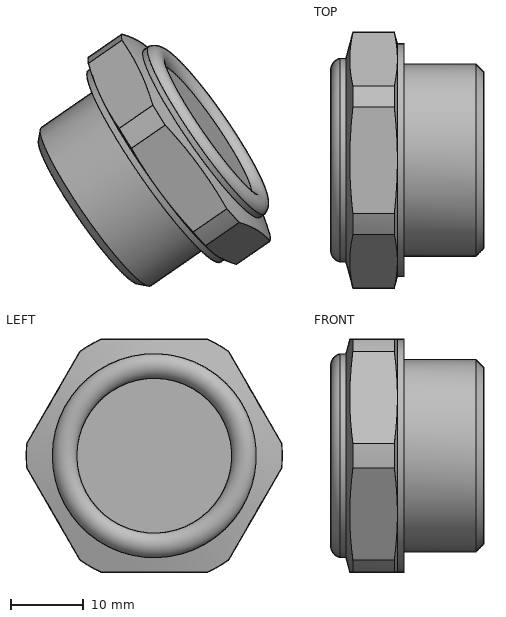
import cadquery as cq
import math

length = 21.07
across_flats = 32.0
across_corners = 35.18

rim_radius = 28.0 / 2
rim_depth = 1.3
recess_radius = 10.62
rim_crest_radius = (rim_radius + recess_radius) / 2

head_front = 2.1
head_back = 9.18
cone_slope = math.tan(math.radians(15))

flange_radius = across_flats / 2
flange_back = 10.1
plug_radius = 26.45 / 2
plug_chamfer = 1.13


def make_body():
    """Round core: recessed rim, flange and chamfered plug."""
    profile = (
        cq.Workplane("XY")
        .moveTo(rim_depth, 0)
        .lineTo(rim_depth, recess_radius)
        .threePointArc((0, rim_crest_radius), (rim_depth, rim_radius))
        .lineTo(head_back, rim_radius)
        .lineTo(head_back, flange_radius)
        .lineTo(flange_back, flange_radius)
        .lineTo(flange_back, plug_radius)
        .lineTo(length - plug_chamfer, plug_radius)
        .lineTo(length, plug_radius - plug_chamfer)
        .lineTo(length, 0)
        .close()
    )
    return profile.revolve(360, (0, 0), (1, 0))


def make_head():
    """Hexagon with flats facing +Z and -Z, trimmed by a double-coned disc."""
    hexagon = (
        cq.Workplane("YZ", origin=(head_front, 0, 0))
        .polygon(6, across_flats, circumscribed=True)
        .extrude(head_back - head_front)
        .rotate((0, 0, 0), (1, 0, 0), 90)
    )
    corner_radius = across_corners / 2
    front_cone_end = head_front + (corner_radius - rim_radius) * cone_slope
    back_cone_start = head_back - (corner_radius - flange_radius) * cone_slope
    trim = (
        cq.Workplane("XY")
        .moveTo(head_front, 0)
        .lineTo(head_front, rim_radius)
        .lineTo(front_cone_end, corner_radius)
        .lineTo(back_cone_start, corner_radius)
        .lineTo(head_back, flange_radius)
        .lineTo(head_back, 0)
        .close()
        .revolve(360, (0, 0), (1, 0))
    )
    return hexagon.intersect(trim)


result = make_body().union(make_head())